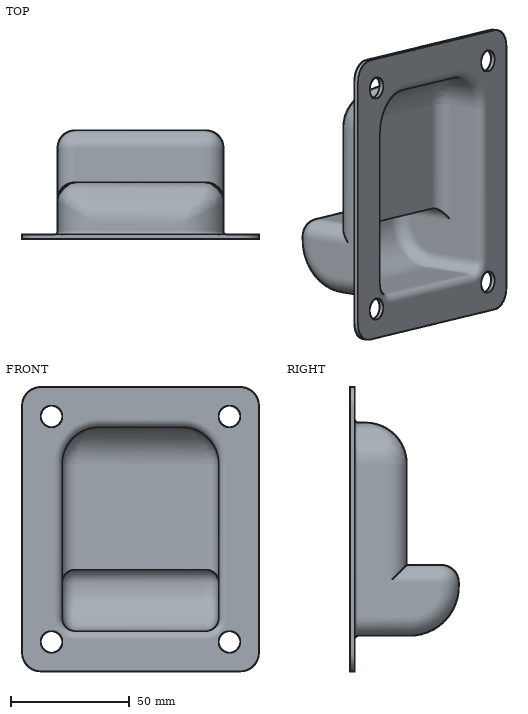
import cadquery as cq
import math

plate_width = 100.0
plate_height = 120.0
wall = 2.0
plate_corner_radius = 8.0
hole_diameter = 9.0
hole_inset = 12.5

shell_width = 70.1
shell_height = 90.0
shell_depth = 24.0
step_depth = 46.0
step_top = -15.0
crown_radius = 17.5
belly_radius = 21.0
edge_radius = 7.5
lip_radius = 3.4


def make_plate():
    plate = (
        cq.Workplane("XZ")
        .rect(plate_width, plate_height)
        .extrude(-wall)
        .edges("|Y")
        .fillet(plate_corner_radius)
    )
    holes = (
        cq.Workplane("XZ")
        .rect(plate_width - 2 * hole_inset, plate_height - 2 * hole_inset, forConstruction=True)
        .vertices()
        .circle(hole_diameter / 2)
        .extrude(-wall)
    )
    return plate.cut(holes)


def make_form(inset):
    """Solid stepped form; every surface lies the given inset inside the outer shell."""
    half_width = shell_width / 2 - inset
    top = shell_height / 2 - inset
    bottom = -top
    back = shell_depth - inset
    step_back = step_depth - inset
    ledge = step_top - inset
    crown = crown_radius - inset
    belly = belly_radius - inset
    edge = edge_radius - inset
    diagonal = math.sqrt(0.5)

    profile = (
        cq.Workplane("YZ", origin=(-half_width, 0, 0))
        .moveTo(0, bottom)
        .lineTo(step_back - belly, bottom)
        .threePointArc(
            (step_back - belly * (1 - diagonal), bottom + belly * (1 - diagonal)),
            (step_back, bottom + belly),
        )
        .lineTo(step_back, ledge - edge)
        .threePointArc(
            (step_back - edge * (1 - diagonal), ledge - edge * (1 - diagonal)),
            (step_back - edge, ledge),
        )
        .lineTo(back, ledge)
        .lineTo(back, top - crown)
        .threePointArc(
            (back - crown * (1 - diagonal), top - crown * (1 - diagonal)),
            (back - crown, top),
        )
        .lineTo(0, top)
        .close()
    )
    front_outline = (
        cq.Workplane("XZ")
        .rect(2 * half_width, 2 * top)
        .extrude(-step_back)
        .edges("|Y and >Z")
        .fillet(crown)
    )
    form = profile.extrude(2 * half_width).intersect(front_outline)
    return form.faces("<X or >X").edges("not <Y").fillet(edge)


def round_mouth(body, y, half_width, radius):
    """Round the edges at depth y where the shell wall meets the plate."""
    half_height = half_width + (shell_height - shell_width) / 2
    margin = 0.1
    region = cq.selectors.BoxSelector(
        (-half_width - margin, y - margin, -half_height - margin),
        (half_width + margin, y + margin, half_height + margin),
        boundingbox=True,
    )
    return body.edges(region).fillet(radius)


outer_half_width = shell_width / 2
body = make_plate().union(make_form(0))
body = round_mouth(body, wall, outer_half_width, lip_radius - wall)
body = body.cut(make_form(wall))
result = round_mouth(body, 0, outer_half_width - wall, lip_radius)